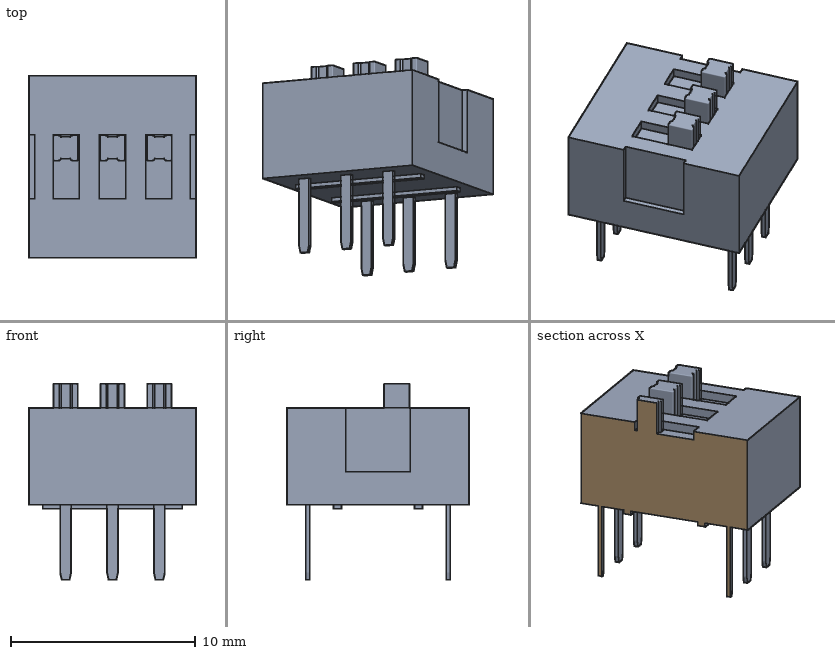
import cadquery as cq

body_width = 9.08
body_length = 9.9
body_height = 5.26
total_height = 10.65

recess_length = 3.48
recess_height = 3.47
recess_depth = 0.31

switch_count = 3
slot_pitch = 2.51
slot_width = 1.43
slot_length = recess_length
slot_depth = 0.48

pin_pitch = 2.55
knob_width = 1.32
knob_length = 1.4
knob_height = 1.32
knob_end_gap = 0.02
knob_y = slot_length / 2 - knob_end_gap - knob_length / 2
knob_edge_radius = 0.05

groove_mouth = 0.7
groove_floor = 0.49
groove_depth = 0.1

rail_length = 7.59
rail_width = 0.45
rail_height = 0.21
rail_spacing = 4.41

pin_width = 0.61
pin_thickness = 0.22
pin_length = total_height - body_height - knob_height
pin_tip_width = 0.44
pin_tip_height = 0.39
pin_row_spacing = 7.63


def row_positions(pitch):
    """X positions of one row of switches or pins, centred on the housing."""
    return [(i - (switch_count - 1) / 2) * pitch for i in range(switch_count)]


def make_housing():
    housing = cq.Workplane("XY").box(
        body_width, body_length, body_height, centered=(True, True, False)
    )
    recesses = (
        cq.Workplane("XY", origin=(0, 0, body_height - recess_height))
        .pushPoints([(-body_width / 2, 0), (body_width / 2, 0)])
        .rect(2 * recess_depth, recess_length)
        .extrude(recess_height)
    )
    slots = (
        cq.Workplane("XY", origin=(0, 0, body_height - slot_depth))
        .pushPoints([(x, 0) for x in row_positions(slot_pitch)])
        .rect(slot_width, slot_length)
        .extrude(slot_depth)
    )
    return housing.cut(recesses).cut(slots)


def make_knob(x):
    """Knob standing on the slot floor, with a grip groove in each Y end."""
    base = cq.Workplane("XY", origin=(x, knob_y, body_height - slot_depth))
    height = slot_depth + knob_height
    knob = base.rect(knob_width, knob_length).extrude(height).edges("|Z").fillet(knob_edge_radius)
    for end in (-1, 1):
        face_y = end * knob_length / 2
        floor_y = face_y - end * groove_depth
        groove = base.polyline(
            [
                (-groove_mouth / 2, face_y),
                (-groove_floor / 2, floor_y),
                (groove_floor / 2, floor_y),
                (groove_mouth / 2, face_y),
            ]
        ).close().extrude(height)
        knob = knob.cut(groove)
    return knob.faces(">Z").edges().fillet(knob_edge_radius)


def make_rails():
    return (
        cq.Workplane("XY")
        .pushPoints([(0, -rail_spacing / 2), (0, rail_spacing / 2)])
        .rect(rail_length, rail_width)
        .extrude(-rail_height)
    )


def make_pin(x, y):
    """Pin hanging from the underside of the housing, tapered across its width."""
    shoulder_z = pin_tip_height - pin_length
    return (
        cq.Workplane("XZ", origin=(x, y, 0))
        .polyline(
            [
                (-pin_width / 2, 0),
                (-pin_width / 2, shoulder_z),
                (-pin_tip_width / 2, -pin_length),
                (pin_tip_width / 2, -pin_length),
                (pin_width / 2, shoulder_z),
                (pin_width / 2, 0),
            ]
        )
        .close()
        .extrude(pin_thickness / 2, both=True)
    )


result = make_housing().union(make_rails())
for switch_x in row_positions(pin_pitch):
    result = result.union(make_knob(switch_x))
    for pin_y in (-pin_row_spacing / 2, pin_row_spacing / 2):
        result = result.union(make_pin(switch_x, pin_y))